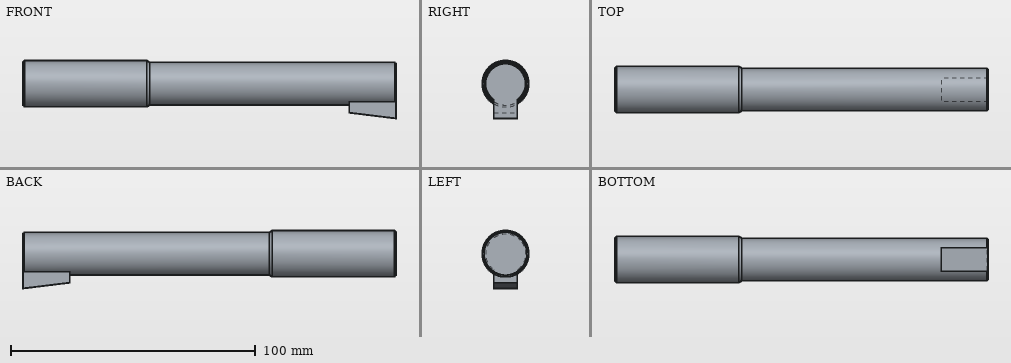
import cadquery as cq
import math

total_length = 152.4
handle_diameter = 19.0
shank_diameter = 17.5
shank_start = 51.8
shoulder_angle = 30.0
handle_end_chamfer = 0.8
shank_end_chamfer = 0.6

tooth_length = 19.2
tooth_width = 9.6
overall_height = 23.8
tooth_angle = 7.0

handle_radius = handle_diameter / 2
shank_radius = shank_diameter / 2
shoulder_length = (handle_radius - shank_radius) / math.tan(math.radians(shoulder_angle))
tooth_tip_z = handle_radius - overall_height
tooth_heel_z = tooth_tip_z + tooth_length * math.tan(math.radians(tooth_angle))


def make_bar():
    """Revolve the half profile of the handle, shoulder and shank."""
    profile = (
        cq.Workplane("XZ")
        .moveTo(0, 0)
        .lineTo(0, handle_radius - handle_end_chamfer)
        .lineTo(handle_end_chamfer, handle_radius)
        .lineTo(shank_start - shoulder_length, handle_radius)
        .lineTo(shank_start, shank_radius)
        .lineTo(total_length - shank_end_chamfer, shank_radius)
        .lineTo(total_length, shank_radius - shank_end_chamfer)
        .lineTo(total_length, 0)
        .close()
    )
    return profile.revolve(360, (0, 0, 0), (1, 0, 0))


def make_tooth():
    """Tapered block rising to the bar axis so that it joins the shank fully."""
    tooth_start = total_length - tooth_length
    return (
        cq.Workplane("XZ")
        .moveTo(tooth_start, 0)
        .lineTo(tooth_start, tooth_heel_z)
        .lineTo(total_length, tooth_tip_z)
        .lineTo(total_length, 0)
        .close()
        .extrude(tooth_width / 2, both=True)
    )


result = make_bar().union(make_tooth())